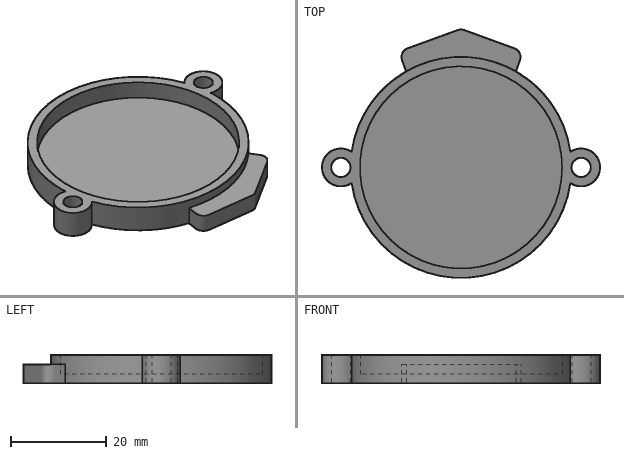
import cadquery as cq

tray_radius = 23.24
tray_height = 6.0
wall_thickness = 2.0
floor_thickness = 2.0
pocket_radius = tray_radius - wall_thickness

ear_hole_diameter = 4.0
ear_radius = 4.0
ear_offset = pocket_radius + ear_radius

chevron_height = 4.0
chevron_tip_y = 29.0
corner_radius = 2.0
bar_slope = 20.0
bar_reach = 11.2
bar_width = 6.0


def tray_body():
    return cq.Workplane("XY").circle(tray_radius).extrude(tray_height)


def pocket():
    depth = tray_height - floor_thickness
    return cq.Workplane("XY").workplane(offset=floor_thickness).circle(pocket_radius).extrude(depth)


def ear_cylinders(radius):
    """One full-height cylinder on each ear axis."""
    centres = [(-ear_offset, 0), (ear_offset, 0)]
    return cq.Workplane("XY").pushPoints(centres).circle(radius).extrude(tray_height)


def chevron():
    """Bar sloping down to +X from the apex, joined to its mirror image."""
    bar_length = bar_reach + 2 * corner_radius
    bar = (
        cq.Workplane("XY")
        .rect(bar_length, bar_width)
        .extrude(chevron_height)
        .edges("|Z")
        .fillet(corner_radius)
    )
    bar = (
        bar.translate((bar_length / 2 - corner_radius, corner_radius - bar_width / 2, 0))
        .rotate((0, 0, 0), (0, 0, 1), -bar_slope)
        .translate((0, chevron_tip_y - corner_radius, 0))
    )
    return bar.union(bar.mirror("YZ"))


result = (
    tray_body()
    .union(chevron())
    .union(ear_cylinders(ear_radius))
    .cut(pocket())
    .cut(ear_cylinders(ear_hole_diameter / 2))
)